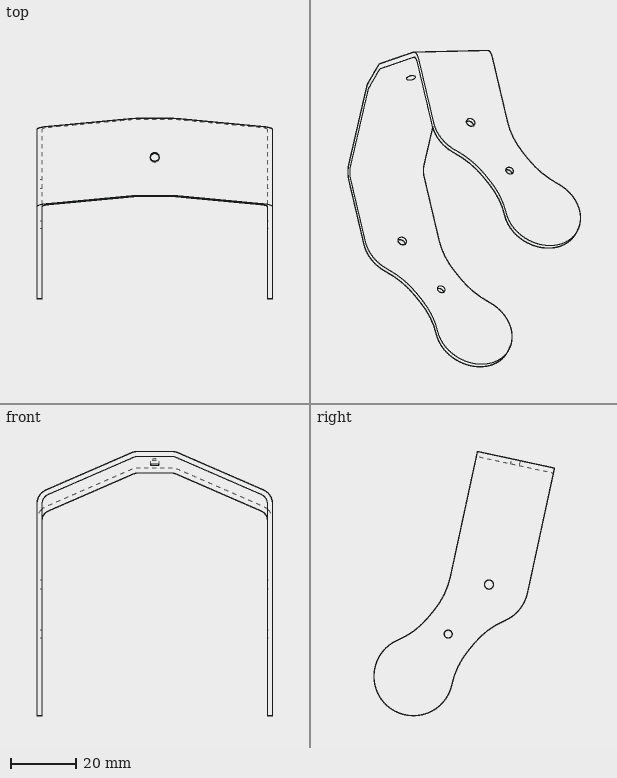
import cadquery as cq
import math

outer_width = 72.16
thickness = 1.6
strip_width = 24.2
half_strip = strip_width / 2
flat_top_width = 12.4
roof_slope = math.radians(24.0)
bend_radius = 3.2

pad_radius = half_strip
knee_radius = half_strip
knee_to_pad = 36.4
knee_to_top = 39.12
knee_angle = math.radians(27.3)
strip_tilt = 12.2
neck_half_width = 8.0
arm_fillet = strip_width

knee_hole_diameter = 2.71
neck_hole_diameter = 2.38
top_hole_diameter = 2.71

blend_offset = math.sqrt((pad_radius + arm_fillet) ** 2 - (neck_half_width + arm_fillet) ** 2)
blend_out = neck_half_width + arm_fillet
touch_share = pad_radius / (pad_radius + arm_fillet)

clearance = 2 * (knee_to_pad + knee_to_top)



def along_neck(distance, offset):
    """(Y, Z) of a point up the neck from the pad centre, offset towards the front."""
    rise = distance - knee_to_pad
    return (
        rise * math.sin(knee_angle) - offset * math.cos(knee_angle),
        rise * math.cos(knee_angle) + offset * math.sin(knee_angle),
    )


def mid_arc(centre, start, end):
    """Point halfway along the minor arc from start to end."""
    chord_y = (start[0] + end[0]) / 2 - centre[0]
    chord_z = (start[1] + end[1]) / 2 - centre[1]
    stretch = math.dist(centre, start) / math.hypot(chord_y, chord_z)
    return (centre[0] + chord_y * stretch, centre[1] + chord_z * stretch)


def filled_arch(inset, radius):
    """Filled arch lying inset inside the outer surface, with its bends rounded to radius."""
    half_width = outer_width / 2
    half_flat = flat_top_width / 2
    shoulder = knee_to_top - (half_width - half_flat) * math.tan(roof_slope)

    side = half_width - inset
    flat = half_flat - inset * math.tan(roof_slope / 2)
    bend = shoulder - inset * math.tan((math.pi / 2 - roof_slope) / 2)
    top = knee_to_top - inset

    outline = [
        (-side, -clearance),
        (-side, bend),
        (-flat, top),
        (flat, top),
        (side, bend),
        (side, -clearance),
    ]
    block = cq.Workplane("XZ").polyline(outline).close().extrude(clearance, both=True)
    bend_zone = cq.selectors.BoxSelector(
        (-outer_width, -clearance, 0),
        (outer_width, clearance, clearance),
    )
    return block.edges("|Y").edges(bend_zone).fillet(radius)


def bent_sheet():
    """Sheet of constant thickness following the arch."""
    return filled_arch(0, bend_radius + thickness).cut(filled_arch(thickness, bend_radius))


def arm_outline():
    """Side outline of strip, knee, neck and pad, as a block running across X."""
    corner_below_knee = (half_strip - neck_half_width * math.cos(knee_angle)) / math.sin(knee_angle)
    fillet_length = arm_fillet * math.tan(knee_angle / 2)
    fillet_distance = knee_to_pad - corner_below_knee - fillet_length
    fillet_centre = along_neck(fillet_distance, blend_out)
    fillet_neck = along_neck(fillet_distance, neck_half_width)
    fillet_strip = (-half_strip, fillet_centre[1])

    front_centre = along_neck(blend_offset, blend_out)
    front_neck = along_neck(blend_offset, neck_half_width)
    front_pad = along_neck(blend_offset * touch_share, blend_out * touch_share)

    back_centre = along_neck(blend_offset, -blend_out)
    back_neck = along_neck(blend_offset, -neck_half_width)
    back_pad = along_neck(blend_offset * touch_share, -blend_out * touch_share)
    pad_tip = along_neck(-pad_radius, 0)

    knee_centre = along_neck(knee_to_pad, 0)
    knee_blend_centre = along_neck(knee_to_pad - blend_offset, -blend_out)
    knee_neck = along_neck(knee_to_pad - blend_offset, -neck_half_width)
    knee_touch = along_neck(knee_to_pad - blend_offset * touch_share, -blend_out * touch_share)
    knee_back = (knee_radius, 0)

    return (
        cq.Workplane("YZ")
        .moveTo(-half_strip, knee_to_top)
        .lineTo(*fillet_strip)
        .threePointArc(mid_arc(fillet_centre, fillet_strip, fillet_neck), fillet_neck)
        .lineTo(*front_neck)
        .threePointArc(mid_arc(front_centre, front_neck, front_pad), front_pad)
        .threePointArc(pad_tip, back_pad)
        .threePointArc(mid_arc(back_centre, back_pad, back_neck), back_neck)
        .lineTo(*knee_neck)
        .threePointArc(mid_arc(knee_blend_centre, knee_neck, knee_touch), knee_touch)
        .threePointArc(mid_arc(knee_centre, knee_touch, knee_back), knee_back)
        .lineTo(half_strip, knee_to_top)
        .close()
        .extrude(outer_width, both=True)
    )


def arm_hole(position, diameter):
    """Drill running across X through both arms."""
    return cq.Workplane("YZ").center(*position).circle(diameter / 2).extrude(outer_width, both=True)


def top_hole():
    """Drill through the middle of the flat top."""
    return cq.Workplane("XY").circle(top_hole_diameter / 2).extrude(clearance)


bracket = bent_sheet().intersect(arm_outline())
bracket = bracket.cut(arm_hole(along_neck(knee_to_pad, 0), knee_hole_diameter))
bracket = bracket.cut(arm_hole(along_neck(blend_offset, 0), neck_hole_diameter))
bracket = bracket.cut(top_hole())

pad_y, pad_z = along_neck(0, 0)
result = bracket.translate((0, -pad_y, -pad_z)).rotate((0, 0, 0), (1, 0, 0), -strip_tilt)